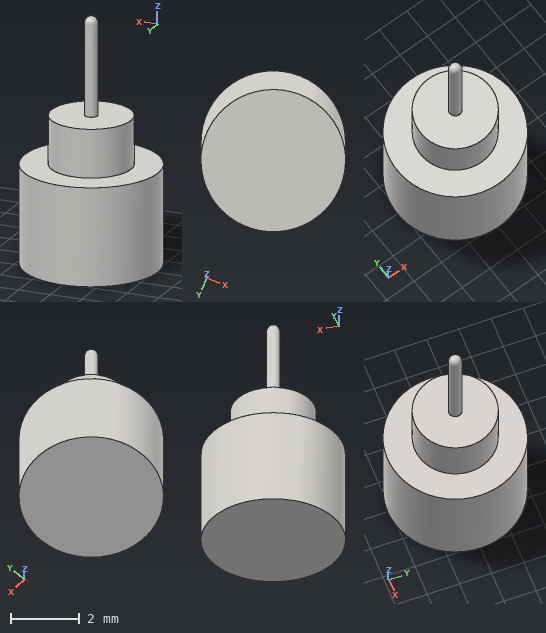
import cadquery as cq

total_height = 7.6
body_diameter = 4.2
body_height = 3.05
collar_diameter = 2.5
collar_height = 1.5
insert_diameter = 1.96
pin_diameter = 0.4

body_radius = body_diameter / 2
collar_radius = collar_diameter / 2
insert_radius = insert_diameter / 2
pin_radius = pin_diameter / 2
collar_top = body_height + collar_height
tip_start = total_height - pin_radius


def half_profile():
    """Half section in the XZ plane: body, collar with flush insert, round-tipped pin."""
    tip_mid_offset = pin_radius * 0.5 ** 0.5
    return (
        cq.Workplane("XZ")
        .lineTo(body_radius, 0)
        .lineTo(body_radius, body_height)
        .lineTo(collar_radius, body_height)
        .lineTo(collar_radius, collar_top)
        .lineTo(insert_radius, collar_top)
        .lineTo(pin_radius, collar_top)
        .lineTo(pin_radius, tip_start)
        .threePointArc((tip_mid_offset, tip_start + tip_mid_offset), (0, total_height))
        .close()
    )


result = half_profile().revolve(360, (0, 0, 0), (0, 1, 0), clean=False)